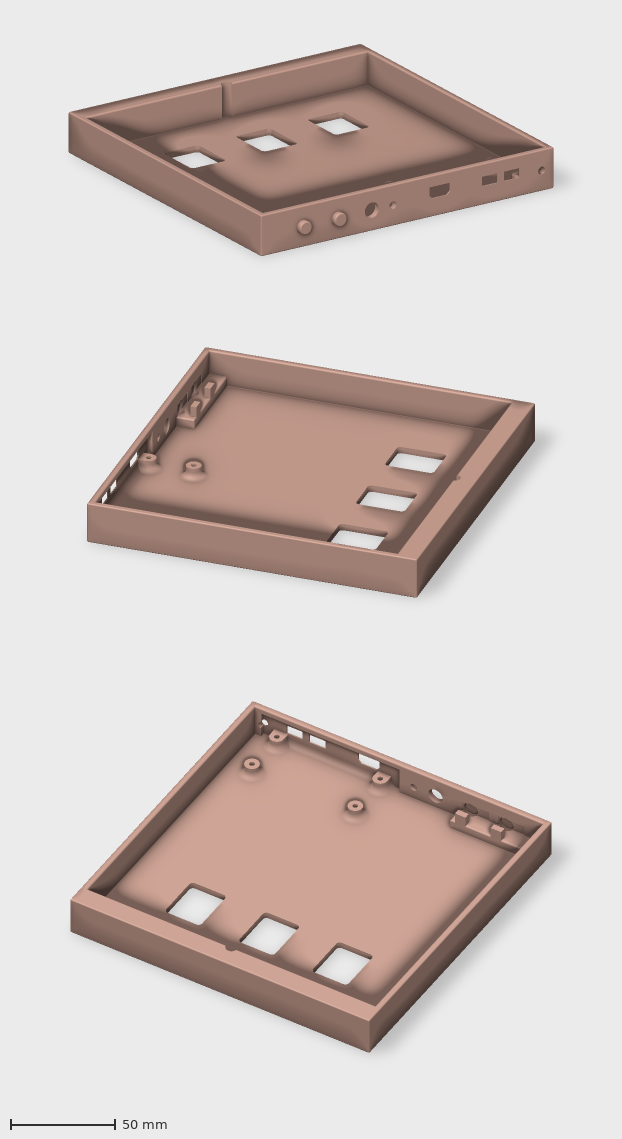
import cadquery as cq
import math

CASE_SIDE = 168.0
CASE_HEIGHT = 21.0
FLOOR = 3.5
WALL = 3.2
THICK_WALL = 11.0
EDGE_RADIUS = 0.7
RIM_RADIUS = 0.9
FLOOR_RADIUS = 0.3
INNER_X = CASE_SIDE - WALL
MID_Y = CASE_SIDE / 2
MID_Z = CASE_HEIGHT / 2
ARC_MIDDLE = 1 - math.sqrt(0.5)

NOTCH_DIAMETER = 6.0

WINDOW_X = 45.5
WINDOW_LENGTH = 25.0
WINDOW_WIDTH = 20.0
WINDOW_PITCH = 41.2
WINDOW_RADIUS = 2.0

BOSS_DIAMETER = 7.5
BOSS_HOLE = 2.7
BOSS_HEIGHT = 5.6
BOSS_FLARE = 3.5
BOARD_Y = 122.5
BOSS_SPACING_X = 22.9
BOSS_SPACING_Y = 58.0
INNER_BOSS_X = 140.2
WALL_BOSS_X = INNER_BOSS_X + BOSS_SPACING_X
BOSS_YS = (BOARD_Y - BOSS_SPACING_Y / 2, BOARD_Y + BOSS_SPACING_Y / 2)

POCKET_LENGTH = 78.0
POCKET_SKIN = 0.7
POCKET_TOP = 18.1
POCKET_BACK = CASE_SIDE - POCKET_SKIN
USB_WIDTH = 9.0
USB_HEIGHT = 5.0
USB_Z = 12.0
USB_YS = (144.0, 131.3)
HDMI_WIDTH = 12.0
HDMI_HEIGHT = 6.0
HDMI_Y = 102.5
HDMI_Z = 12.3
HDMI_CHAMFER = 1.7

SCREW_HOLE = 4.0
SCREW_HOLE_YS = (160.9, 75.5)
JACK_HOLE = 8.0
JACK_Y = 63.5

BUTTON_YS = (44.0, 24.0)
BUTTON_DIAMETER = 7.0
BUTTON_BORE = 8.0
BUTTON_WEB = 0.5
BUTTON_TIP_X = 171.0
BUTTON_RECESS = 1.4
BUTTON_ROUND = 0.9
DISH_DEPTH = 2.0
BLOCK_X = 155.6
BLOCK_END_Y = 49.8
BLOCK_TOP = 8.5
POST_TOP = 14.0
POST_THICKNESS = 3.0
POST_WIDTH = 5.8
RELIEF_DEPTH = 0.5
RELIEF_START = 4.3
RELIEF_LENGTH = 14.9


def box(x0, x1, y0, y1, z0, z1):
    """Axis-aligned block between two corners."""
    return cq.Workplane("XY").box(x1 - x0, y1 - y0, z1 - z0, centered=False).translate((x0, y0, z0))


def x_cylinder(diameter, x0, x1, y, z):
    """Cylinder lying along X."""
    return cq.Workplane("YZ", origin=(x0, y, z)).circle(diameter / 2).extrude(x1 - x0)


def make_shell():
    body = box(0, CASE_SIDE, 0, CASE_SIDE, 0, CASE_HEIGHT).edges().fillet(EDGE_RADIUS)
    cavity = box(THICK_WALL, INNER_X, WALL, CASE_SIDE - WALL, FLOOR, CASE_HEIGHT)
    body = body.cut(cavity.faces("<Z").edges().fillet(FLOOR_RADIUS))
    rim_low = (THICK_WALL / 2, WALL / 2, CASE_HEIGHT - FLOOR_RADIUS)
    rim_high = (CASE_SIDE - WALL / 2, CASE_SIDE - WALL / 2, CASE_HEIGHT + FLOOR_RADIUS)
    body = body.edges(cq.selectors.BoxSelector(rim_low, rim_high)).fillet(RIM_RADIUS)
    notch = cq.Workplane("XY", origin=(THICK_WALL, MID_Y, FLOOR)).circle(NOTCH_DIAMETER / 2)
    return body.cut(notch.extrude(CASE_HEIGHT - FLOOR))


def make_windows():
    return (
        cq.Workplane("XY", origin=(WINDOW_X, MID_Y, 0))
        .rarray(1.7, WINDOW_PITCH, 1, 3)
        .rect(WINDOW_LENGTH, WINDOW_WIDTH)
        .extrude(FLOOR)
        .edges("|Z")
        .fillet(WINDOW_RADIUS)
    )


def cove(radius, x, y, z, length):
    """Concave fillet in the corner at (x, y, z), filling towards -X and running `length` along -Y."""
    bend = radius * ARC_MIDDLE
    return (
        cq.Workplane("XZ", origin=(x, y, z))
        .lineTo(-radius, 0)
        .threePointArc((-bend, bend), (0, radius))
        .close()
        .extrude(length)
    )


def boss_half_profile(plane, origin):
    """Half section of a boss: straight side down to a concave flare that meets the floor."""
    radius = BOSS_DIAMETER / 2
    bend = BOSS_FLARE * ARC_MIDDLE
    return (
        cq.Workplane(plane, origin=origin)
        .moveTo(0, 0)
        .lineTo(radius + BOSS_FLARE, 0)
        .threePointArc((radius + bend, bend), (radius, BOSS_FLARE))
        .lineTo(radius, BOSS_HEIGHT)
        .lineTo(0, BOSS_HEIGHT)
        .close()
    )


def make_round_boss(x, y):
    return boss_half_profile("XZ", (x, y, FLOOR)).revolve(360, (0, 0), (0, 1))


def make_wall_boss(y):
    """Boss whose section carries on straight into the back of the connector pocket."""
    half_bar = boss_half_profile("YZ", (WALL_BOSS_X, y, FLOOR)).extrude(POCKET_BACK - WALL_BOSS_X)
    bar = half_bar.union(half_bar.mirror("XZ", (0, y, 0)))
    half_space = box(0, WALL_BOSS_X, 0, CASE_SIDE, 0, CASE_HEIGHT)
    return make_round_boss(WALL_BOSS_X, y).intersect(half_space).union(bar)


def make_port(width, height, y, z):
    return box(INNER_X, CASE_SIDE, y - width / 2, y + width / 2, z - height / 2, z + height / 2)


def make_switch_block():
    block = box(BLOCK_X, INNER_X + FLOOR_RADIUS, WALL - FLOOR_RADIUS, BLOCK_END_Y, FLOOR, BLOCK_TOP)
    block = block.faces(">Z").edges("<X or >Y").fillet(RIM_RADIUS)
    return block.union(cove(FLOOR_RADIUS, BLOCK_X, BLOCK_END_Y, FLOOR, BLOCK_END_Y - WALL))


def make_post(y):
    """Upright behind a button, flush with the front of the block, with a rounded foot at the back."""
    back = BLOCK_X + POST_THICKNESS
    post = box(BLOCK_X, back, y - POST_WIDTH / 2, y + POST_WIDTH / 2, FLOOR, POST_TOP)
    foot = cove(RIM_RADIUS, 0, y + POST_WIDTH / 2, BLOCK_TOP, POST_WIDTH).mirror("YZ").translate((back, 0, 0))
    return post.union(foot)


def make_button_clearance(y):
    """Bore around the button, its rounded hollow in the block and the relief in the wall."""
    bore = x_cylinder(BUTTON_BORE, INNER_X, CASE_SIDE - BUTTON_WEB, y, MID_Z)
    radius = BUTTON_BORE / 2
    drop = MID_Z - BLOCK_TOP
    dish_x = INNER_X - DISH_DEPTH + math.sqrt(radius ** 2 - drop ** 2)
    hollow = cq.Workplane("XY").sphere(radius).translate((dish_x, y, MID_Z))
    hollow = hollow.intersect(box(BLOCK_X, INNER_X, 0, CASE_SIDE, 0, CASE_HEIGHT))
    start = y + RELIEF_START
    relief = box(INNER_X, INNER_X + RELIEF_DEPTH, start - RELIEF_LENGTH, start, BLOCK_TOP, POST_TOP)
    return bore, hollow, relief


def make_button(y):
    button = x_cylinder(BUTTON_DIAMETER, INNER_X + BUTTON_RECESS, BUTTON_TIP_X, y, MID_Z)
    return button.faces("<X or >X").edges().fillet(BUTTON_ROUND)


case = make_shell().cut(make_windows())

pocket_start = BOARD_Y - POCKET_LENGTH / 2
case = case.cut(
    box(INNER_X - FLOOR_RADIUS, POCKET_BACK, pocket_start, pocket_start + POCKET_LENGTH, FLOOR, POCKET_TOP)
)
case = case.union(cove(BOSS_FLARE, POCKET_BACK, BOSS_YS[1], FLOOR, BOSS_SPACING_Y))
for boss_y in BOSS_YS:
    case = case.union(make_round_boss(INNER_BOSS_X, boss_y)).union(make_wall_boss(boss_y))
    for boss_x in (INNER_BOSS_X, WALL_BOSS_X):
        hole = cq.Workplane("XY", origin=(boss_x, boss_y, 0)).circle(BOSS_HOLE / 2)
        case = case.cut(hole.extrude(FLOOR + BOSS_HEIGHT))
for usb_y in USB_YS:
    case = case.cut(make_port(USB_WIDTH, USB_HEIGHT, usb_y, USB_Z))
hdmi_port = make_port(HDMI_WIDTH, HDMI_HEIGHT, HDMI_Y, HDMI_Z)
case = case.cut(hdmi_port.edges("|X").edges("<Z").chamfer(HDMI_CHAMFER))

for hole_y in SCREW_HOLE_YS:
    case = case.cut(x_cylinder(SCREW_HOLE, INNER_X, CASE_SIDE, hole_y, MID_Z))
case = case.cut(x_cylinder(JACK_HOLE, INNER_X, CASE_SIDE, JACK_Y, MID_Z))

case = case.union(make_switch_block())
for button_y in BUTTON_YS:
    for clearance in make_button_clearance(button_y):
        case = case.cut(clearance)
    case = case.union(make_button(button_y)).union(make_post(button_y))

result = case